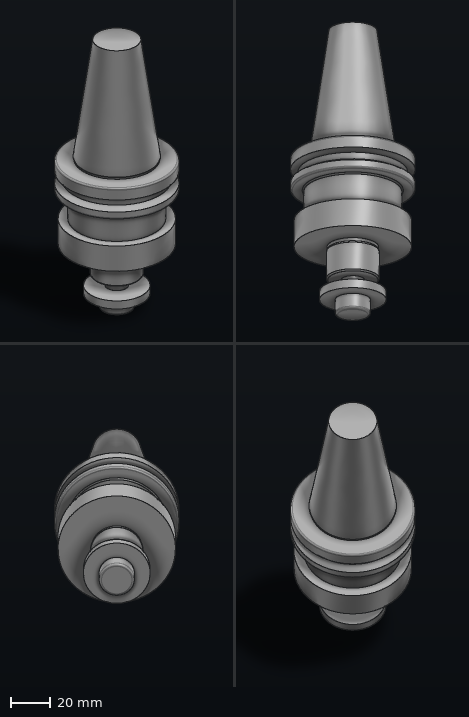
import cadquery as cq

total_height = 155.2

taper_top_diameter = 24.7
taper_base_diameter = 44.5
neck_diameter = 43.8
taper_base_z = 87.4
neck_top_z = 87.0

flange_diameter = 63.5
flange_top_z = 86.0
flange_bottom_z = 68.0
flange_edge_radius = 1.0
groove_diameter = 56.0
groove_upper_rim_z = 79.3
groove_upper_floor_z = 78.0
groove_lower_floor_z = 74.4
groove_lower_rim_z = 72.3

body_diameter = 50.0
body_flare = 0.8
collar_diameter = 60.0
collar_top_z = 51.7
collar_bottom_z = 37.1

pilot_diameter = 27.0
relief_diameter = 26.2
relief_bottom_z = 35.4
pilot_top_z = 34.5
pilot_bottom_z = 19.1
pilot_chamfer = 0.8

stem_diameter = 12.0
washer_diameter = 34.0
washer_top_z = 12.9
washer_bottom_z = 8.2
head_diameter = 18.0
head_edge_radius = 1.2


def revolve_profile(stations):
    """Revolve (diameter, z) stations, listed from top to bottom, about Z."""
    outline = [(diameter / 2, z) for diameter, z in stations]
    top_z = stations[0][1]
    bottom_z = stations[-1][1]
    points = [(0, top_z)] + outline + [(0, bottom_z)]
    return cq.Workplane("XZ").polyline(points).close().revolve(360, (0, 0), (0, 1))


shank = [
    (taper_top_diameter, total_height),
    (taper_base_diameter, taper_base_z),
    (neck_diameter, neck_top_z),
    (neck_diameter, flange_top_z),
]

flange = [
    (flange_diameter, flange_top_z),
    (flange_diameter, groove_upper_rim_z),
    (groove_diameter, groove_upper_floor_z),
    (groove_diameter, groove_lower_floor_z),
    (flange_diameter, groove_lower_rim_z),
    (flange_diameter, flange_bottom_z),
]

body_and_collar = [
    (body_diameter + 2 * body_flare, flange_bottom_z),
    (body_diameter, flange_bottom_z - body_flare),
    (body_diameter, collar_top_z),
    (collar_diameter, collar_top_z),
    (collar_diameter, collar_bottom_z),
]

pilot = [
    (relief_diameter, collar_bottom_z),
    (relief_diameter, relief_bottom_z),
    (pilot_diameter, pilot_top_z),
    (pilot_diameter, pilot_bottom_z + pilot_chamfer),
    (pilot_diameter - 2 * pilot_chamfer, pilot_bottom_z),
]

screw = [
    (stem_diameter, pilot_bottom_z),
    (stem_diameter, washer_top_z),
    (washer_diameter, washer_top_z),
    (washer_diameter, washer_bottom_z),
    (head_diameter, washer_bottom_z),
    (head_diameter, 0),
]

rounded_flange = revolve_profile(flange).edges(">Z or <Z").fillet(flange_edge_radius)
lower_end = revolve_profile(body_and_collar + pilot + screw).edges("<Z").fillet(head_edge_radius)

result = revolve_profile(shank).union(rounded_flange).union(lower_end)